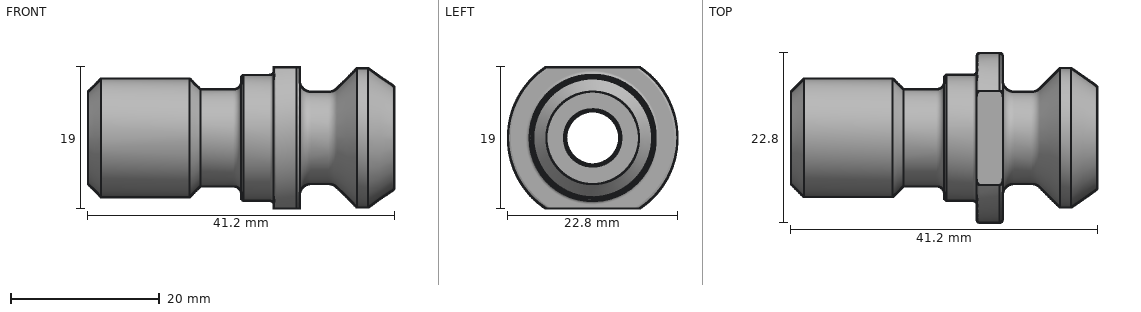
import cadquery as cq
import math

length = 41.2
bore_diameter = 7.13
bore_chamfer = 0.3

shank_radius = 16.0 / 2
shank_chamfer = 1.77
shank_end = 13.68

relief_radius = 13.1 / 2
relief_fillet = 1.0

collar_radius = 16.97 / 2
collar_start = 20.6
collar_chamfer = 0.3
collar_fillet = 0.5

flange_radius = 22.82 / 2
flange_start = 24.95
flange_end = 28.45
flange_edge_fillet = 0.4
flat_distance = 19.0

neck_radius = 12.45 / 2
neck_fillet = 1.5
knob_radius = 18.8 / 2
knob_start = 36.17
knob_end = 37.65
knob_tip_angle = math.radians(35)
knob_edge_chamfer = 0.3

diagonal = math.sqrt(0.5)


def add_quarter_arc(outline, center, radius, x_side, radial_side, end):
    """Add a quarter circle; the two signs say which quadrant around the center it fills."""
    middle = (
        center[0] + x_side * radius * diagonal,
        center[1] + radial_side * radius * diagonal,
    )
    return outline.threePointArc(middle, end)


def turned_body():
    relief_start = shank_end + shank_radius - relief_radius
    outline = (
        cq.Workplane("XY")
        .moveTo(0, 0)
        .lineTo(0, shank_radius - shank_chamfer)
        .lineTo(shank_chamfer, shank_radius)
        .lineTo(shank_end, shank_radius)
        .lineTo(relief_start, relief_radius)
        .lineTo(collar_start - relief_fillet, relief_radius)
    )

    relief_top = relief_radius + relief_fillet
    outline = add_quarter_arc(
        outline, (collar_start - relief_fillet, relief_top), relief_fillet, 1, -1, (collar_start, relief_top)
    )
    outline = (
        outline.lineTo(collar_start, collar_radius - collar_chamfer)
        .lineTo(collar_start + collar_chamfer, collar_radius)
        .lineTo(flange_start - collar_fillet, collar_radius)
    )

    collar_top = collar_radius + collar_fillet
    outline = add_quarter_arc(
        outline, (flange_start - collar_fillet, collar_top), collar_fillet, 1, -1, (flange_start, collar_top)
    )

    rim_radius = flange_radius - flange_edge_fillet
    rim_start = flange_start + flange_edge_fillet
    rim_end = flange_end - flange_edge_fillet
    outline = outline.lineTo(flange_start, rim_radius)
    outline = add_quarter_arc(
        outline, (rim_start, rim_radius), flange_edge_fillet, -1, 1, (rim_start, flange_radius)
    )
    outline = outline.lineTo(rim_end, flange_radius)
    outline = add_quarter_arc(
        outline, (rim_end, rim_radius), flange_edge_fillet, 1, 1, (flange_end, rim_radius)
    )

    neck_top = neck_radius + neck_fillet
    neck_start = flange_end + neck_fillet
    outline = outline.lineTo(flange_end, neck_top)
    outline = add_quarter_arc(
        outline, (neck_start, neck_top), neck_fillet, -1, -1, (neck_start, neck_radius)
    )

    cone_start_radius = neck_top - neck_fillet * diagonal
    cone_start = knob_start - (knob_radius - cone_start_radius)
    neck_end = cone_start - neck_fillet * diagonal
    half_turn = math.radians(45) / 2
    arc_middle = (
        neck_end + neck_fillet * math.sin(half_turn),
        neck_top - neck_fillet * math.cos(half_turn),
    )
    outline = outline.lineTo(neck_end, neck_radius).threePointArc(arc_middle, (cone_start, cone_start_radius))

    tip_end = length - knob_edge_chamfer
    tip_radius = knob_radius - (tip_end - knob_end) * math.tan(knob_tip_angle)
    outline = (
        outline.lineTo(knob_start, knob_radius)
        .lineTo(knob_end, knob_radius)
        .lineTo(tip_end, tip_radius)
        .lineTo(length, tip_radius - knob_edge_chamfer)
        .lineTo(length, 0)
        .close()
    )
    return outline.revolve(360, (0, 0, 0), (1, 0, 0))


def chamfered_bore():
    bore_radius = bore_diameter / 2
    mouth_radius = bore_radius + bore_chamfer
    return (
        cq.Workplane("XY")
        .polyline([
            (0, 0),
            (0, mouth_radius),
            (bore_chamfer, bore_radius),
            (length - bore_chamfer, bore_radius),
            (length, mouth_radius),
            (length, 0),
        ])
        .close()
        .revolve(360, (0, 0, 0), (1, 0, 0))
    )


flats_envelope = cq.Workplane("XY").box(length, 2 * flange_radius, flat_distance).translate((length / 2, 0, 0))

result = turned_body().intersect(flats_envelope).cut(chamfered_bore())